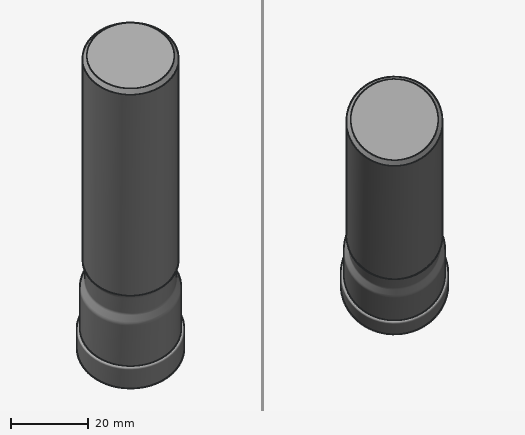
import cadquery as cq
import math

total_length = 115.0
shank_diameter = 25.0
neck_diameter = 23.8
body_diameter = 26.3
head_diameter = 28.0
shank_radius = shank_diameter / 2
neck_radius = neck_diameter / 2
body_radius = body_diameter / 2
head_radius = head_diameter / 2

head_height = 8.4
body_top = 24.3
neck_top = 33.5
shank_bottom = 35.2

head_top_fillet = 0.5
head_bottom_fillet = 0.8
tip_chamfer = 1.2
body_blend_height = 1.0
neck_lower_blend_height = 0.7
neck_upper_blend_height = 1.0
neck_lower_slope = math.radians(26)

blend_spread = math.tan(neck_lower_slope / 2)
cone_bottom_radius = body_radius - body_blend_height * blend_spread
cone_top_radius = neck_radius + neck_lower_blend_height * blend_spread
cone_bottom = body_top + body_blend_height
cone_top = cone_bottom + (cone_bottom_radius - cone_top_radius) / math.tan(neck_lower_slope)
neck_bottom = cone_top + neck_lower_blend_height

shank_cone_bottom = neck_top + neck_upper_blend_height
shank_cone_radius = neck_radius + neck_upper_blend_height * blend_spread


def make_holder():
    """Shank, relieved neck and cylindrical body, turned about Z."""
    return (
        cq.Workplane("XZ")
        .moveTo(0, head_height)
        .lineTo(body_radius, head_height)
        .lineTo(body_radius, body_top)
        .tangentArcPoint((cone_bottom_radius, cone_bottom), relative=False)
        .lineTo(cone_top_radius, cone_top)
        .tangentArcPoint((neck_radius, neck_bottom), relative=False)
        .lineTo(neck_radius, neck_top)
        .tangentArcPoint((shank_cone_radius, shank_cone_bottom), relative=False)
        .lineTo(shank_radius, shank_bottom)
        .lineTo(shank_radius, total_length - tip_chamfer)
        .lineTo(shank_radius - tip_chamfer, total_length)
        .lineTo(0, total_length)
        .close()
        .revolve(360, (0, 0, 0), (0, 1, 0))
    )


def make_head():
    """Wider disc seated against the bottom face of the holder."""
    head = cq.Workplane("XY").circle(head_radius).extrude(head_height)
    head = head.faces(">Z").fillet(head_top_fillet)
    return head.faces("<Z").fillet(head_bottom_fillet)


holder = make_holder()
head = make_head()

result = cq.Compound.makeCompound([holder.val(), head.val()])